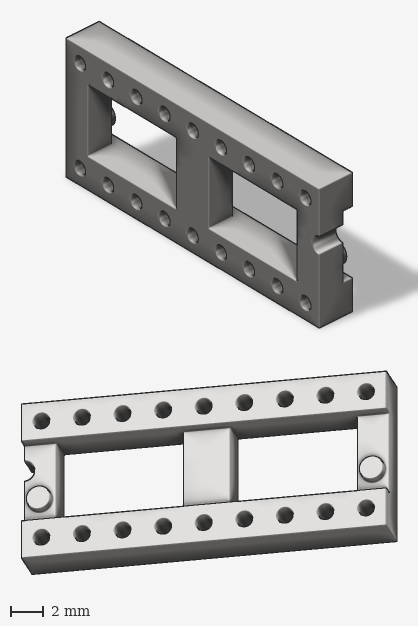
import cadquery as cq

length = 22.8
thickness = 2.78
height = 10.1
edge_radius = 0.075

pitch = 2.53
holes_per_row = 9
row_spacing = 3 * pitch
hole_diameter = 0.98

centre_bar_width = 2.96
end_bar_width = 2.03
window_height = 5.15
channel_depth = 0.8

notch_radius = 0.64
notch_height = 0.95

peg_diameter = 1.53
peg_length = 0.55
peg_height = -1.07

window_width = (length - centre_bar_width) / 2 - end_bar_width
window_offset = (centre_bar_width + window_width) / 2
channel_floor = thickness - channel_depth
peg_offset = (length - end_bar_width) / 2


def cylinder_along_y(x, z, diameter, start, reach):
    """Cylinder starting at Y = start and extending by reach toward +Y."""
    plane = cq.Plane(origin=(x, start, z), xDir=(1, 0, 0), normal=(0, 1, 0))
    return cq.Workplane(plane).circle(diameter / 2).extrude(reach)


def block_along_y(x, size_x, size_z, start, reach):
    """Rectangular block starting at Y = start, centred on Z = 0."""
    return cq.Workplane("XY").box(size_x, reach, size_z).translate((x, start + reach / 2, 0))


body = block_along_y(0, length, height, 0, thickness)
body = body.cut(block_along_y(0, length, window_height, channel_floor, channel_depth))
for side in (-1, 1):
    body = body.cut(block_along_y(side * window_offset, window_width, window_height, 0, thickness))
body = body.cut(cylinder_along_y(length / 2, notch_height, 2 * notch_radius, 0, thickness))

for row in (-1, 1):
    for column in range(holes_per_row):
        hole_x = (column - (holes_per_row - 1) / 2) * pitch
        body = body.cut(cylinder_along_y(hole_x, row * row_spacing / 2, hole_diameter, 0, thickness))

for side in (-1, 1):
    body = body.union(cylinder_along_y(side * peg_offset, peg_height, peg_diameter, channel_floor, peg_length))

result = body.edges().fillet(edge_radius)